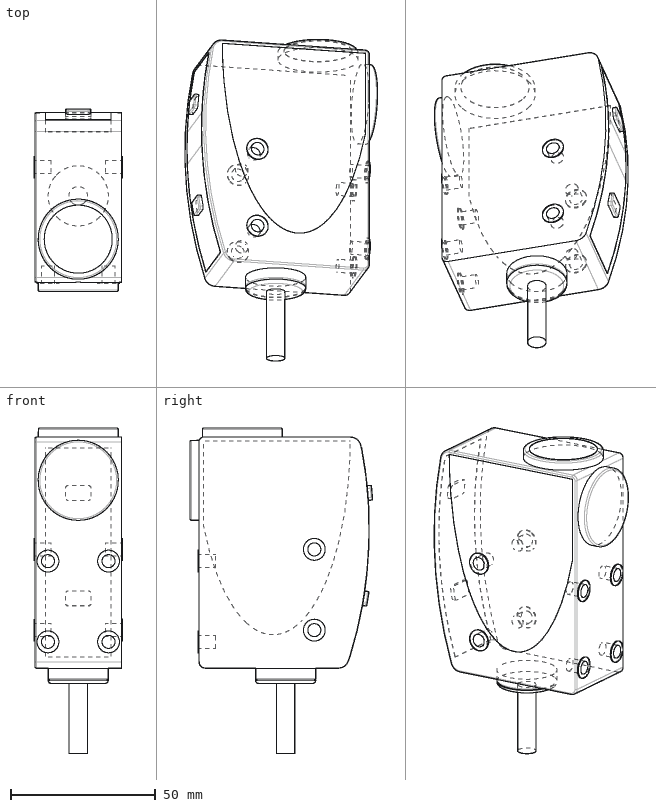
import cadquery as cq
import math


TOTAL_HEIGHT = 112.7

WIDTH = 30.0
HEIGHT = 80.0
DEPTH = 58.8
BACK_RADIUS = 149.9
BACK_APEX_Z = 48.2
BACK_CENTER_Y = DEPTH - BACK_RADIUS
BACK_CORNER_RADIUS = 3.8
FRONT_TOP_RADIUS = 1.7
FRONT_BOTTOM_RADIUS = 2.3
SIDE_EDGE_RADIUS = 0.6

RELIEF = 0.1

WINDOW_DIAMETER = 27.7
WINDOW_SETBACK = 15.0
WINDOW_HEIGHT = 3.2
WINDOW_EDGE_RADIUS = 0.6
TOP_RECESS_DIAMETER = 23.5

PANEL_SEMI_WIDTH = 26.7
PANEL_SEMI_HEIGHT = 67.0
PANEL_CENTER_Y = 25.6
PANEL_FRONT_Y = 1.6
PANEL_TOP_Z = HEIGHT - 1.4

LABEL_WIDTH = 22.8
LABEL_BOTTOM_Z = BACK_CORNER_RADIUS
LABEL_TOP_Z = HEIGHT - BACK_CORNER_RADIUS

BOSS_DIAMETER = 7.5
BOSS_HEIGHT = 0.39
HOLE_DIAMETER = 4.5
HOLE_DEPTH = 5.6
BOSS_SPACING_Z = 27.9
FRONT_BOSS_X = 10.5
FRONT_BOSS_Z = 9.1
SIDE_BOSS_Y = 39.9
SIDE_BOSS_Z = 13.2

BUTTON_WIDTH = 8.8
BUTTON_LENGTH = 5.2
BUTTON_HEIGHT = 1.6
BUTTON_CORNER_RADIUS = 1.0
BUTTON_EDGE_RADIUS = 0.5
BUTTON_ROOT = 1.1
BUTTON_HEIGHTS_Z = (60.6, 24.2)

CABLE_Y = 2 * WINDOW_SETBACK
COLLAR_DIAMETER = 20.8
COLLAR_HEIGHT = 4.0
COLLAR_EDGE_RADIUS = 0.6
CAP_HEIGHT = 1.2
CAP_EDGE_RADIUS = 1.1
CABLE_DIAMETER = 6.4
CABLE_END_Z = HEIGHT + WINDOW_HEIGHT - TOTAL_HEIGHT


def back_y(z):
    """Y of the back surface at height z."""
    return BACK_CENTER_Y + math.sqrt(BACK_RADIUS ** 2 - (z - BACK_APEX_Z) ** 2)


def disc(origin, outward, diameter, height):
    """Cylinder standing on origin and pointing outward."""
    return cq.Workplane(cq.Plane(origin=origin, normal=outward)).circle(diameter / 2).extrude(height)


def housing_block():
    block = (
        cq.Workplane("YZ", origin=(-WIDTH / 2, 0, 0))
        .lineTo(back_y(0), 0)
        .threePointArc((DEPTH, BACK_APEX_Z), (back_y(HEIGHT), HEIGHT))
        .lineTo(0, HEIGHT)
        .close()
        .extrude(WIDTH)
    )
    block = block.faces(">Z").edges("|X and >Y").fillet(BACK_CORNER_RADIUS)
    block = block.faces("<Z").edges("|X and >Y").fillet(BACK_CORNER_RADIUS)
    block = block.faces("<Y").edges(">Z").fillet(FRONT_TOP_RADIUS)
    block = block.faces("<Y").edges("<Z").fillet(FRONT_BOTTOM_RADIUS)
    return block.faces("<X").edges().fillet(SIDE_EDGE_RADIUS)


def panel_cutter():
    """Lower half of an ellipse, cut off straight near the front face."""
    ellipse = (
        cq.Workplane("YZ", origin=(-WIDTH / 2, PANEL_CENTER_Y, PANEL_TOP_Z))
        .ellipse(PANEL_SEMI_WIDTH, PANEL_SEMI_HEIGHT)
        .extrude(RELIEF)
    )
    limit = cq.Workplane("XY", origin=(0, PANEL_FRONT_Y, 0)).box(
        WIDTH, DEPTH, PANEL_TOP_Z, centered=(True, False, False)
    )
    return ellipse.intersect(limit)


def label():
    """Thin raised plate that follows the bulge of the back face."""
    plate = (
        cq.Workplane("YZ", origin=(-LABEL_WIDTH / 2, BACK_CENTER_Y, BACK_APEX_Z))
        .circle(BACK_RADIUS + RELIEF)
        .circle(BACK_RADIUS - RELIEF)
        .extrude(LABEL_WIDTH)
    )
    limit = cq.Workplane("XY", origin=(0, 0, LABEL_BOTTOM_Z)).box(
        WIDTH, 2 * DEPTH, LABEL_TOP_Z - LABEL_BOTTOM_Z, centered=(True, True, False)
    )
    return plate.intersect(limit)


def front_window():
    root = (0, FRONT_TOP_RADIUS, HEIGHT - WINDOW_SETBACK)
    window = disc(root, (0, -1, 0), WINDOW_DIAMETER, FRONT_TOP_RADIUS + WINDOW_HEIGHT)
    return window.faces("<Y").edges().fillet(WINDOW_EDGE_RADIUS)


def top_window():
    root = (0, WINDOW_SETBACK, HEIGHT - FRONT_TOP_RADIUS)
    window = disc(root, (0, 0, 1), WINDOW_DIAMETER, FRONT_TOP_RADIUS + WINDOW_HEIGHT)
    window = window.faces(">Z").edges().fillet(WINDOW_EDGE_RADIUS)
    top = (0, WINDOW_SETBACK, HEIGHT + WINDOW_HEIGHT)
    return window.cut(disc(top, (0, 0, -1), TOP_RECESS_DIAMETER, RELIEF))


def button(z):
    """Rounded button standing square to the back surface at height z."""
    at_apex = (
        cq.Workplane("XZ", origin=(0, DEPTH - BUTTON_ROOT, BACK_APEX_Z))
        .rect(BUTTON_WIDTH, BUTTON_LENGTH)
        .extrude(-(BUTTON_ROOT + BUTTON_HEIGHT))
        .edges("|Y").fillet(BUTTON_CORNER_RADIUS)
        .faces(">Y").edges().fillet(BUTTON_EDGE_RADIUS)
    )
    turn = math.degrees(math.asin((z - BACK_APEX_Z) / BACK_RADIUS))
    axis_start = (0, BACK_CENTER_Y, BACK_APEX_Z)
    axis_end = (1, BACK_CENTER_Y, BACK_APEX_Z)
    return at_apex.rotate(axis_start, axis_end, turn)


def boss_seats():
    """Middle and outward direction of every mounting boss on the front, -X and +X faces."""
    seats = []
    for rise in (0, BOSS_SPACING_Z):
        for side in (-1, 1):
            seats.append(((side * FRONT_BOSS_X, 0, FRONT_BOSS_Z + rise), (0, -1, 0)))
            seats.append(((side * WIDTH / 2, SIDE_BOSS_Y, SIDE_BOSS_Z + rise), (side, 0, 0)))
    return seats


def add_boss(body, seat, outward):
    middle = cq.Vector(seat)
    direction = cq.Vector(outward)
    root = middle - direction * RELIEF
    rim = middle + direction * BOSS_HEIGHT
    boss = disc(root, direction, BOSS_DIAMETER, RELIEF + BOSS_HEIGHT)
    hole = disc(rim, -direction, HOLE_DIAMETER, BOSS_HEIGHT + HOLE_DEPTH)
    return body.union(boss).cut(hole)


def collar():
    ring = disc((0, CABLE_Y, 0), (0, 0, -1), COLLAR_DIAMETER, COLLAR_HEIGHT)
    return ring.faces("<Z").edges().fillet(COLLAR_EDGE_RADIUS)


def make_housing():
    body = housing_block().cut(panel_cutter()).union(label())
    body = body.union(front_window()).union(top_window()).union(collar())
    for z in BUTTON_HEIGHTS_Z:
        body = body.union(button(z))
    for seat, outward in boss_seats():
        body = add_boss(body, seat, outward)
    return body


def make_cable():
    """Round cable with a cap that closes the underside of the collar."""
    cap = disc((0, CABLE_Y, -COLLAR_HEIGHT), (0, 0, -1), COLLAR_DIAMETER, CAP_HEIGHT)
    cap = cap.faces("<Z").edges().fillet(CAP_EDGE_RADIUS)
    cap_bottom_z = -COLLAR_HEIGHT - CAP_HEIGHT
    cord = disc((0, CABLE_Y, cap_bottom_z), (0, 0, -1), CABLE_DIAMETER, cap_bottom_z - CABLE_END_Z)
    return cap.union(cord)


housing = make_housing()
cable = make_cable()
result = cq.Compound.makeCompound([housing.val(), cable.val()])